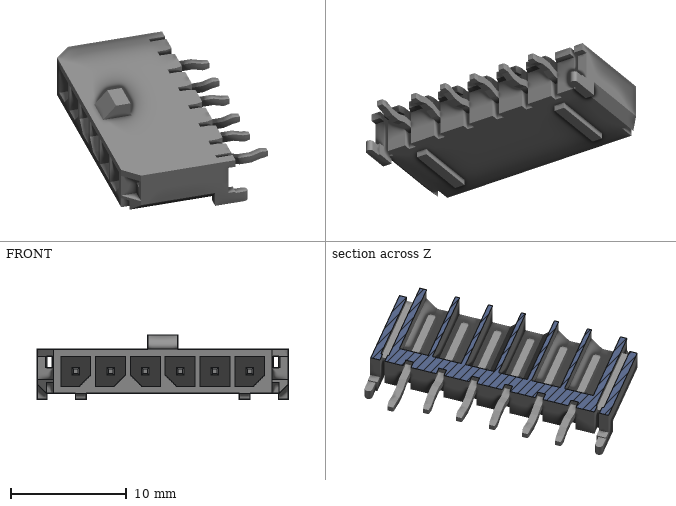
import cadquery as cq


width = 21.65
half_width = width / 2
height = 3.8
wall_y = 9.25
roof_y = 9.9
roof_thickness = 0.67
corner_chamfer = 1.39
bottom_chamfer = 0.8

pin_count = 6
pin_span = 15.0
pitch = pin_span / (pin_count - 1)
cavity_size = 2.58
cavity_depth = 7.36
key_size = 0.97
key_sides = [1, 1, -1, -1, 0, 1]
pin_z = height / 2
pin_width = 0.65
pin_front_y = 2.16
pin_front_taper = 0.13
pin_front_taper_length = 0.25
pin_rear_y = 13.05
long_pin_rear_y = 13.75
pin_rear_taper = 0.06
pin_rear_taper_length = 0.48
kink_offset = 0.25
kink_slope = 0.87
kink_flat = 1.06
kink_end_gap = 0.15

notch_floor_y = 8.55
notch_flare = 0.17
notch_flare_depth = 0.56

foot_width = 0.87
foot_drop = 0.52
foot_front_y = 8.05
foot_shelf_z = 0.58
toe_width = 0.7
toe_end_y = 11.05
toe_top_z = 0.45

slot_width = 0.41
slot_floor_y = 8.45
pocket_top_z = height - 0.6
pocket_floor_z = 1.2
window_width = 0.67
window_height = 0.97
relief_height = 0.93

rail_x = 7.05
rail_width = 0.95
rail_front_y = 1.7
rail_length = 6.05

latch_width = 2.6
latch_height = 1.23
latch_front_y = 0.87
latch_crest_y = 2.04
latch_rear_y = 3.33
latch_fillet = 0.25


def box(x_range, y_range, z_range):
    """Box from its lower and upper limits on each axis."""
    (x0, x1), (y0, y1), (z0, z1) = x_range, y_range, z_range
    return cq.Workplane("XY").box(x1 - x0, y1 - y0, z1 - z0, centered=False).translate((x0, y0, z0))


def both_sides(left_shape):
    """The left-hand shape together with its mirror image across X = 0."""
    return left_shape.union(left_shape.mirror("YZ"))


def pin_x(index):
    return (index - (pin_count - 1) / 2) * pitch


def make_block():
    block = box((-half_width, half_width), (0, wall_y), (0, height))
    block = block.edges("|Y and <Z").chamfer(bottom_chamfer)
    roof = box((-half_width, half_width), (0, roof_y), (height - roof_thickness, height))
    return block.union(roof)


def make_foot():
    """Left foot: a heel that fills the chamfered edge, a shelf behind the wall and a round-ended toe."""
    outer_x = -half_width
    heel_x = (outer_x, outer_x + foot_width)
    heel = box(heel_x, (foot_front_y, wall_y), (-foot_drop, bottom_chamfer))
    shelf = box(heel_x, (wall_y, roof_y), (-foot_drop, foot_shelf_z))
    toe_radius = toe_width / 2
    toe = (
        cq.Workplane("XY", origin=(0, 0, -foot_drop))
        .moveTo(outer_x, foot_front_y)
        .lineTo(outer_x, toe_end_y - toe_radius)
        .threePointArc((outer_x + toe_radius, toe_end_y), (outer_x + toe_width, toe_end_y - toe_radius))
        .lineTo(outer_x + toe_width, foot_front_y)
        .close()
        .extrude(foot_drop + toe_top_z)
    )
    return heel.union(shelf).union(toe)


def make_rail():
    left = -rail_x - rail_width / 2
    return box((left, left + rail_width), (rail_front_y, rail_front_y + rail_length), (-foot_drop, 0))


def make_latch():
    return (
        cq.Workplane("YZ", origin=(-latch_width / 2, 0, height))
        .moveTo(latch_front_y, 0)
        .lineTo(latch_crest_y, latch_height)
        .lineTo(latch_rear_y, latch_height)
        .lineTo(latch_rear_y, latch_fillet)
        .radiusArc((latch_rear_y + latch_fillet, 0), -latch_fillet)
        .close()
        .extrude(latch_width)
    )


def make_corner_cut():
    """Prism that bevels the left front corner."""
    return (
        cq.Workplane("XY")
        .polyline([
            (-half_width, 0),
            (-half_width + corner_chamfer, 0),
            (-half_width, corner_chamfer),
        ])
        .close()
        .extrude(height)
    )


def make_side_openings():
    """Left corner pocket, the window behind it, the rear slot and the relief under the pocket."""
    outer_x = -half_width
    inner_x = outer_x + corner_chamfer
    pocket = box((outer_x, inner_x), (0, corner_chamfer), (pocket_floor_z, pocket_top_z))
    window = box(
        (inner_x - window_width, inner_x),
        (corner_chamfer, slot_floor_y),
        (pocket_top_z - window_height, pocket_top_z),
    )
    slot_x = outer_x + foot_width
    slot = box((slot_x, slot_x + slot_width), (slot_floor_y, roof_y), (0, height))
    relief = box((outer_x + bottom_chamfer, inner_x), (0, corner_chamfer), (0, relief_height))
    return pocket.union(window).union(slot).union(relief)


def make_cavity(index):
    """Square socket with one lower corner filled as a key."""
    half = cavity_size / 2
    cavity = box((-half, half), (0, cavity_depth), (-half, half))
    side = key_sides[index]
    if side:
        edge = ">X" if side > 0 else "<X"
        cavity = cavity.faces("<Z").edges(edge).chamfer(key_size)
    return cavity.translate((pin_x(index), 0, pin_z))


def make_pin_passage(index):
    """Snug square hole behind the cavity, opening into a flared notch at the rear."""
    half = pin_width / 2
    x = pin_x(index)
    hole = box((x - half, x + half), (cavity_depth, notch_floor_y), (pin_z - half, pin_z + half))
    flare_start_y = roof_y - notch_flare_depth
    notch = (
        cq.Workplane("XY")
        .polyline([
            (x - half, notch_floor_y),
            (x + half, notch_floor_y),
            (x + half, flare_start_y),
            (x + half + notch_flare, roof_y),
            (x - half - notch_flare, roof_y),
            (x - half, flare_start_y),
        ])
        .close()
        .extrude(height)
    )
    return hole.union(notch)


def make_housing():
    housing = make_block()
    housing = housing.union(both_sides(make_foot()))
    housing = housing.union(both_sides(make_rail()))
    housing = housing.union(make_latch())
    housing = housing.cut(both_sides(make_corner_cut()))
    housing = housing.cut(both_sides(make_side_openings()))
    for index in range(pin_count):
        housing = housing.cut(make_cavity(index))
        housing = housing.cut(make_pin_passage(index))
    return housing


def make_pin(index):
    """Square pin, bent alternately up and down behind the housing; the last one is longer."""
    rear_y = long_pin_rear_y if index == pin_count - 1 else pin_rear_y
    bend = kink_offset if index % 2 == 0 else -kink_offset
    half = pin_width / 2
    front_half = half - pin_front_taper
    rear_half = half - pin_rear_taper
    taper_front_y = pin_front_y + pin_front_taper_length
    taper_rear_y = rear_y - pin_rear_taper_length

    kink_end_y = taper_rear_y - kink_end_gap
    flat_end_y = kink_end_y - kink_slope
    flat_start_y = flat_end_y - kink_flat
    kink_start_y = flat_start_y - kink_slope

    stations = [
        (pin_front_y, front_half, 0),
        (taper_front_y, half, 0),
        (kink_start_y, half, 0),
        (flat_start_y, half, bend),
        (flat_end_y, half, bend),
        (kink_end_y, half, 0),
        (taper_rear_y, half, 0),
        (rear_y, rear_half, 0),
    ]
    upper = [(y, centre + thick) for y, thick, centre in stations]
    lower = [(y, centre - thick) for y, thick, centre in reversed(stations)]
    side_profile = cq.Workplane("YZ").polyline(upper + lower).close().extrude(half, both=True)

    plan_profile = (
        cq.Workplane("XY")
        .polyline([
            (-front_half, pin_front_y),
            (front_half, pin_front_y),
            (half, taper_front_y),
            (half, taper_rear_y),
            (rear_half, rear_y),
            (-rear_half, rear_y),
            (-half, taper_rear_y),
            (-half, taper_front_y),
        ])
        .close()
        .extrude(half + kink_offset, both=True)
    )
    return side_profile.intersect(plan_profile).translate((pin_x(index), 0, pin_z))


housing = make_housing()
pins = [make_pin(index) for index in range(pin_count)]

result = cq.Compound.makeCompound([housing.val(), *[pin.val() for pin in pins]])